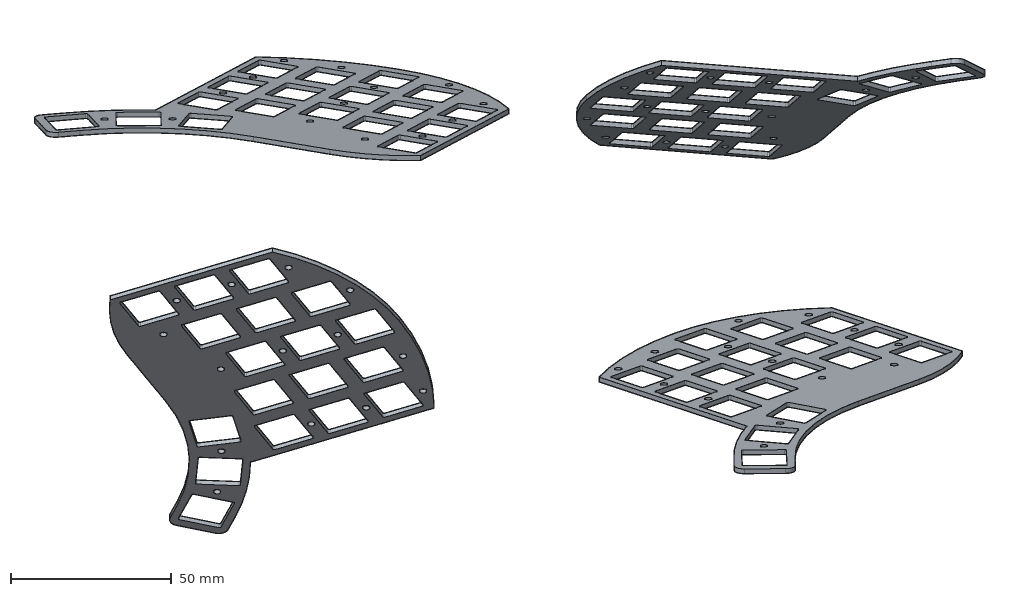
import cadquery as cq
import math


plate_width = 124.7
plate_height = 110.5
thickness = 1.6

pitch = 19.1
cutout = 14.0
cutout_corner_radius = 0.5
rows = 3
bottom_switch_y = [52.5, 55.0, 61.5, 55.5, 43.5]

hole_diameter = 2.2
columns_with_row_holes = [0, 2, 4]
columns_with_top_hole = [0, 1, 3, 4]
hole_above_switch = 10.2
column_with_bottom_hole = 2
hole_below_switch = 12.0
lone_hole = (101.1, 41.5)

arm_radius = 80.5
thumb_step = 15
thumb_angles = [thumb_step, 2 * thumb_step, 3 * thumb_step]
thumb_hole_angles = [1.5 * thumb_step, 2.5 * thumb_step]
thumb_hole_radius = 81.2
arm_end_length = 10.1
arm_corner_radius = 3.1

arm_end_angle = thumb_angles[-1]
arm_inner_radius = arm_radius - pitch / 2
arm_outer_radius = arm_radius + pitch / 2

end_sin = math.sin(math.radians(arm_end_angle))
end_cos = math.cos(math.radians(arm_end_angle))
corner_past = arm_end_length - arm_corner_radius
outer_corner_radius = arm_outer_radius - arm_corner_radius
inner_corner_radius = arm_inner_radius + arm_corner_radius
arm_center_x = arm_corner_radius + outer_corner_radius * end_sin + corner_past * end_cos
arm_center_y = arm_corner_radius - inner_corner_radius * end_cos + corner_past * end_sin

first_column_x = plate_width - (len(bottom_switch_y) - 0.5) * pitch
left_x = first_column_x - pitch / 2
bottom_y = arm_center_y + arm_inner_radius
apex = (74.7, plate_height)
top_left = (left_x, 100.0)
top_right = (plate_width, 91.0)
bottom_right = (plate_width, 34.7)
bottom_flat_end = (96.9, bottom_y)


def arm_point(radius, angle, past=0):
    """Point around the arm's centre, moved on along the arm by the length past."""
    a = math.radians(angle)
    x = arm_center_x - radius * math.sin(a) - past * math.cos(a)
    y = arm_center_y + radius * math.cos(a) - past * math.sin(a)
    return (x, y)


def level_arc_middle(level_point, end):
    """Middle point of the arc that leaves level_point horizontally and reaches end."""
    dx = end[0] - level_point[0]
    dy = end[1] - level_point[1]
    radius = (dx**2 + dy**2) / (2 * dy)
    half_sweep = math.atan2(dy, abs(dx))
    x = level_point[0] + math.copysign(radius * math.sin(half_sweep), dx)
    y = level_point[1] + radius * (1 - math.cos(half_sweep))
    return (x, y)


def make_plate():
    junction_angle = math.degrees(math.asin((arm_center_x - left_x) / arm_outer_radius))
    inner_tip = arm_point(arm_inner_radius, arm_end_angle, arm_end_length)
    outer_tip = arm_point(arm_outer_radius, arm_end_angle, arm_end_length)
    plate = (
        cq.Workplane("XY")
        .moveTo(*top_left)
        .threePointArc(level_arc_middle(apex, top_left), apex)
        .threePointArc(level_arc_middle(apex, top_right), top_right)
        .lineTo(*bottom_right)
        .threePointArc(level_arc_middle(bottom_flat_end, bottom_right), bottom_flat_end)
        .lineTo(arm_center_x, bottom_y)
        .threePointArc(
            arm_point(arm_inner_radius, arm_end_angle / 2),
            arm_point(arm_inner_radius, arm_end_angle),
        )
        .lineTo(*inner_tip)
        .lineTo(*outer_tip)
        .lineTo(*arm_point(arm_outer_radius, arm_end_angle))
        .threePointArc(
            arm_point(arm_outer_radius, (junction_angle + arm_end_angle) / 2),
            arm_point(arm_outer_radius, junction_angle),
        )
        .close()
        .extrude(thickness)
    )
    for tip_x, tip_y in (inner_tip, outer_tip):
        corner = cq.selectors.NearestToPointSelector((tip_x, tip_y, thickness / 2))
        plate = plate.edges("|Z").edges(corner).fillet(arm_corner_radius)
    return plate


def switch_cutter(center, angle):
    cutter = cq.Workplane("XY").rect(cutout, cutout).extrude(thickness)
    cutter = cutter.edges("|Z").fillet(cutout_corner_radius)
    return cutter.rotate((0, 0, 0), (0, 0, 1), angle).translate((*center, 0))


def switch_placements():
    """Centre and rotation of every switch cutout."""
    placements = []
    for column, bottom in enumerate(bottom_switch_y):
        for row in range(rows):
            center = (first_column_x + column * pitch, bottom + row * pitch)
            placements.append((center, 0))
    for angle in thumb_angles:
        placements.append((arm_point(arm_radius, angle), angle))
    return placements


def hole_centers():
    centers = [lone_hole]
    for column, bottom in enumerate(bottom_switch_y):
        x = first_column_x + column * pitch
        if column in columns_with_row_holes:
            centers += [(x, bottom + (row + 0.5) * pitch) for row in range(rows - 1)]
        if column in columns_with_top_hole:
            centers.append((x, bottom + (rows - 1) * pitch + hole_above_switch))
        if column == column_with_bottom_hole:
            centers.append((x, bottom - hole_below_switch))
    centers += [arm_point(thumb_hole_radius, angle) for angle in thumb_hole_angles]
    return centers


result = make_plate()
for center, angle in switch_placements():
    result = result.cut(switch_cutter(center, angle))
screw_holes = (
    cq.Workplane("XY").pushPoints(hole_centers()).circle(hole_diameter / 2).extrude(thickness)
)
result = result.cut(screw_holes)